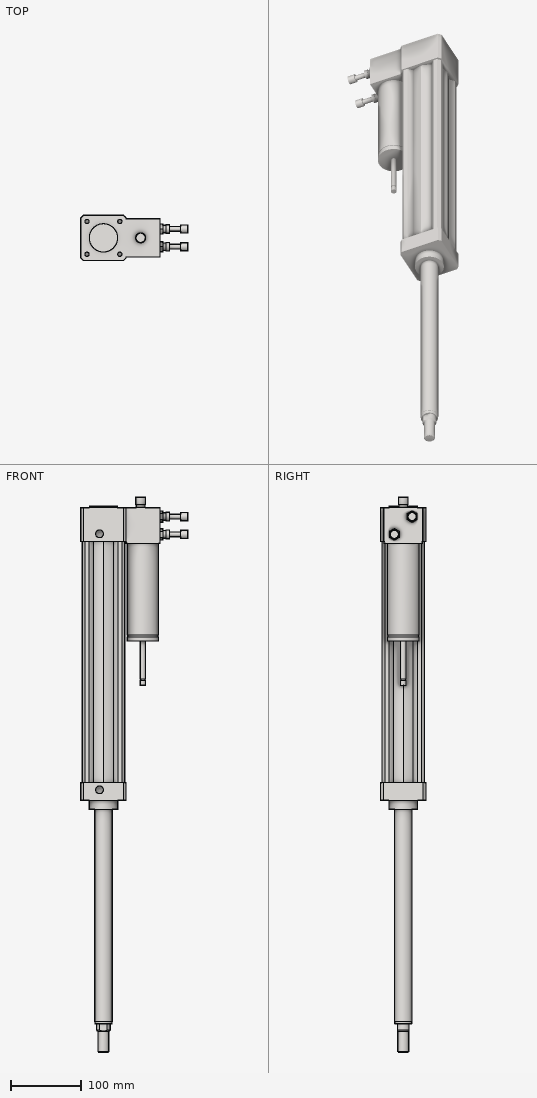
import cadquery as cq
import math


rod_shoulder_z = 40.0
collar_bottom_z = 346.5
cap_bottom_z = 359.0
cap_top_z = 384.5
head_bottom_z = 728.0
head_top_z = 776.0
overall_height = 791.0

block_width = 65.0
block_chamfer = 4.0
port_diameter = 11.0
port_depth = 8.0
port_tip_angle = 118
port_x = -5.5
cap_port_z = 374.0
head_port_z = 739.0

screw_hole_diameter = 6.0
screw_hole_depth = 8.0
screw_pitch = 47.0
disc_diameter = 40.0
disc_height = 2.0

gearbox_width = 54.5
gearbox_end_x = 81.0
gearbox_bottom_z = 725.0
motor_x = 56.0
motor_diameter = 45.0
motor_bottom_z = 586.0
motor_groove_z = 593.0
cable_diameter = 8.0
cable_bottom_z = 523.0
cable_groove_z = 531.0
groove_width = 2.0
groove_depth = 1.0

knob_x = 53.0
knob_diameter = 14.0
knob_neck_diameter = 13.0
knob_bottom_z = 781.0

connector_offset_y = 13.0
connector_mid_z = 751.0
connector_offset_z = 13.0
connector_end_x = 120.0
gland_across_corners = 17.0
gland_end_x = 85.0
sleeve_diameter = 11.0
sleeve_ring_diameter = 13.0
sleeve_ring_start_x = 89.0
sleeve_end_x = 94.0
lead_diameter = 7.0
plug_diameter = 12.0
plug_start_x = 110.0

tube_width = 61.0
tube_chamfer = 4.35
groove_edge = 20.5
groove_floor = 14.0
ridge_rise = 4.35

collar_diameter = 41.0
rod_diameter = 25.0
rod_land_diameter = 24.5
rod_land_top_z = 44.0
rod_chamfer = 1.0
neck_diameter = 20.0
neck_bottom_z = 30.0
neck_chamfer = 2.0
neck_across_flats = 17.0
tip_diameter = 16.0
tip_chamfer = 1.5


def cylinder_z(x, diameter, bottom, top):
    """Upright cylinder standing at (x, 0)."""
    return cq.Workplane("XY", origin=(x, 0, bottom)).circle(diameter / 2).extrude(top - bottom)


def cylinder_x(y, z, diameter, start, end):
    """Cylinder lying along X."""
    return cq.Workplane("YZ", origin=(start, y, z)).circle(diameter / 2).extrude(end - start)


def square_block(bottom, top):
    """Square block with chamfered upright corners."""
    block = cq.Workplane("XY", origin=(0, 0, bottom)).rect(block_width, block_width).extrude(top - bottom)
    return block.edges("|Z").chamfer(block_chamfer)


def port(z):
    """Cutter for a drilled blind port, with a conical end, in the -Y side of an end block."""
    radius = port_diameter / 2
    tip_length = radius / math.tan(math.radians(port_tip_angle / 2))
    half_section = [(0, 0), (radius, 0), (radius, port_depth), (0, port_depth + tip_length)]
    drill = cq.Workplane("XY").polyline(half_section).close().revolve(360, (0, 0, 0), (0, 1, 0))
    return drill.translate((port_x, -block_width / 2, z))


def ring_groove(x, diameter, z):
    """Cutter for a shallow groove around an upright cylinder, centred on z."""
    ring = cq.Workplane("XY", origin=(x, 0, z - groove_width / 2))
    return ring.circle(diameter / 2).circle(diameter / 2 - groove_depth).extrude(groove_width)


def make_connector(y, z):
    """Hexagonal gland, stepped sleeve, lead and plug, pointing along +X."""
    gland_plane = cq.Workplane("YZ", origin=(gearbox_end_x, y, z)).transformed(rotate=(0, 0, 90))
    connector = gland_plane.polygon(6, gland_across_corners).extrude(gland_end_x - gearbox_end_x)
    connector = connector.union(cylinder_x(y, z, sleeve_diameter, gland_end_x, sleeve_ring_start_x))
    connector = connector.union(cylinder_x(y, z, sleeve_ring_diameter, sleeve_ring_start_x, sleeve_end_x))
    connector = connector.union(cylinder_x(y, z, lead_diameter, sleeve_end_x, plug_start_x))
    return connector.union(cylinder_x(y, z, plug_diameter, plug_start_x, connector_end_x))


def make_motor():
    """Motor hanging from the gearbox, with its cable leaving downward."""
    motor = cylinder_z(motor_x, motor_diameter, motor_bottom_z, gearbox_bottom_z)
    motor = motor.cut(ring_groove(motor_x, motor_diameter, motor_groove_z))
    cable = cylinder_z(motor_x, cable_diameter, cable_bottom_z, motor_bottom_z)
    cable = cable.cut(ring_groove(motor_x, cable_diameter, cable_groove_z))
    return motor.union(cable)


def make_head():
    """Head block in one piece with the gearbox, motor, knob and connectors."""
    head = square_block(head_bottom_z, head_top_z)
    gearbox_start_x = block_width / 2 - block_chamfer
    gearbox = cq.Workplane("XY").box(
        gearbox_end_x - gearbox_start_x,
        gearbox_width,
        head_top_z - gearbox_bottom_z,
        centered=(False, True, False),
    )
    gearbox = gearbox.translate((gearbox_start_x, 0, gearbox_bottom_z))
    tube_clearance = cq.Workplane("XY").box(
        block_width, block_width, head_bottom_z - gearbox_bottom_z, centered=(True, True, False)
    )
    gearbox = gearbox.cut(tube_clearance.translate((0, 0, gearbox_bottom_z)))
    head = head.union(gearbox)

    head = head.union(cylinder_z(0, disc_diameter, head_top_z, head_top_z + disc_height))
    head = head.union(cylinder_z(knob_x, knob_neck_diameter, head_top_z, knob_bottom_z))
    head = head.union(cylinder_z(knob_x, knob_diameter, knob_bottom_z, overall_height))
    head = head.union(make_motor())
    for side in (-1, 1):
        y = side * connector_offset_y
        z = connector_mid_z + side * connector_offset_z
        head = head.union(make_connector(y, z))

    screw_holes = (
        cq.Workplane("XY", origin=(0, 0, head_top_z))
        .rect(screw_pitch, screw_pitch, forConstruction=True)
        .vertices()
        .circle(screw_hole_diameter / 2)
        .extrude(-screw_hole_depth)
    )
    return head.cut(screw_holes).cut(port(head_port_z))


def make_tube():
    """Extruded tube: each side dips at 45 degrees, then rises to a central ridge."""
    tube_half = tube_width / 2
    floor_level = tube_half - (groove_edge - groove_floor)
    corner = tube_half - tube_chamfer
    side_points = [
        (-corner, tube_half),
        (-groove_edge, tube_half),
        (-groove_floor, floor_level),
        (0, floor_level + ridge_rise),
        (groove_floor, floor_level),
        (groove_edge, tube_half),
        (corner, tube_half),
    ]
    outline = []
    for quarter in range(4):
        turn = -quarter * math.pi / 2
        for along, out in side_points:
            x = along * math.cos(turn) - out * math.sin(turn)
            y = along * math.sin(turn) + out * math.cos(turn)
            outline.append((x, y))
    length = head_bottom_z - cap_top_z
    return cq.Workplane("XY", origin=(0, 0, cap_top_z)).polyline(outline).close().extrude(length)


def make_front_cap():
    """Front block with its collar, port and bore for the rod."""
    cap = square_block(cap_bottom_z, cap_top_z)
    cap = cap.union(cylinder_z(0, collar_diameter, collar_bottom_z, cap_bottom_z))
    cap = cap.cut(cylinder_z(0, rod_diameter, collar_bottom_z, cap_top_z))
    return cap.cut(port(cap_port_z))


def make_rod():
    """Turned rod with a narrower end land, a neck with two wrench flats, and a tip."""
    rod_radius = rod_diameter / 2
    land_radius = rod_land_diameter / 2
    neck_radius = neck_diameter / 2
    tip_radius = tip_diameter / 2
    outline = [
        (0, 0),
        (tip_radius - tip_chamfer, 0),
        (tip_radius, tip_chamfer),
        (tip_radius, neck_bottom_z),
        (neck_radius, neck_bottom_z + neck_chamfer),
        (neck_radius, rod_shoulder_z),
        (land_radius - rod_chamfer, rod_shoulder_z),
        (land_radius, rod_shoulder_z + rod_chamfer),
        (land_radius, rod_land_top_z),
        (rod_radius, rod_land_top_z),
        (rod_radius, cap_top_z),
        (0, cap_top_z),
    ]
    rod = cq.Workplane("XZ").polyline(outline).close().revolve(360, (0, 0, 0), (0, 1, 0))
    neck_height = rod_shoulder_z - neck_bottom_z
    for side in (-1, 1):
        flat = cq.Workplane("XY").box(neck_diameter, neck_diameter, neck_height, centered=(True, True, False))
        flat_y = side * (neck_across_flats + neck_diameter) / 2
        rod = rod.cut(flat.translate((0, flat_y, neck_bottom_z)))
    return rod


head = make_head()
tube = make_tube()
front_cap = make_front_cap()
rod = make_rod()

result = cq.Compound.makeCompound([head.val(), tube.val(), front_cap.val(), rod.val()])